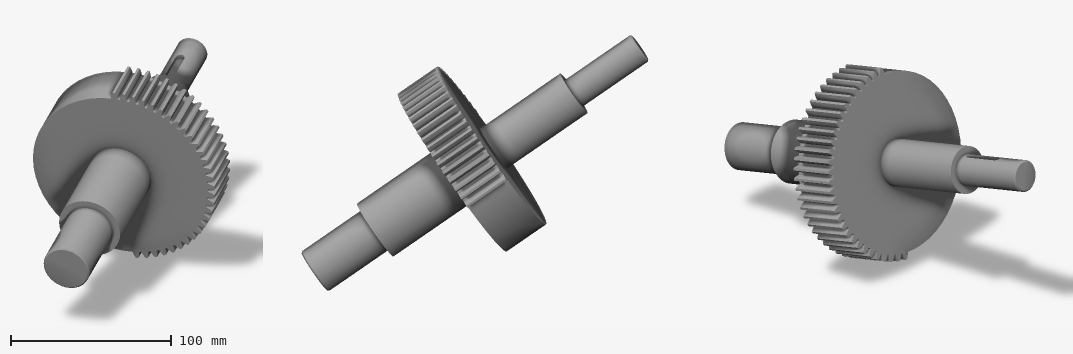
import cadquery as cq
import math

rear_diameter = 20.0
journal_diameter = 30.0
collar_diameter = 40.0
gear_width = 30.0
front_journal_length = 46.0
collar_length = 60.0
rear_journal_length = 60.8
rear_end_length = 50.2
end_chamfer = 1.0

keyway_width = 6.0
keyway_length = 28.0
keyway_depth = 3.0
keyway_shoulder_gap = 2.5

gear_outer_diameter = 124.0
teeth_per_turn = 60
tooth_count = 30
pressure_angle = math.radians(20)
dedendum_in_modules = 1.25
module = gear_outer_diameter / (teeth_per_turn + 2)
outer_radius = gear_outer_diameter / 2
pitch_radius = module * teeth_per_turn / 2
root_radius = pitch_radius - dedendum_in_modules * module
base_radius = pitch_radius * math.cos(pressure_angle)
tooth_pitch_angle = 360 / teeth_per_turn
first_tooth_angle = -84.1

shaft_pitch = 12.5
shaft_yaw = -2.2

front_shoulder_y = -collar_length
front_end_y = front_shoulder_y - front_journal_length
rear_shoulder_y = gear_width + rear_journal_length
rear_end_y = rear_shoulder_y + rear_end_length


def cylinder(diameter, start_y, end_y):
    """A cylinder on the Y axis between two stations."""
    return cq.Workplane("XZ", origin=(0, start_y, 0)).circle(diameter / 2).extrude(start_y - end_y)


def place(body):
    """Turn a body from the Y axis to the tilted axis of the assembly."""
    origin = (0, 0, 0)
    return (
        body.rotate(origin, (1, 0, 0), shaft_pitch)
        .rotate(origin, (0, 0, 1), shaft_yaw)
    )


def make_keyway():
    """A round-ended slot cut down from the top of the rear end."""
    centre_y = rear_shoulder_y + keyway_shoulder_gap + keyway_length / 2
    floor_z = rear_diameter / 2 - keyway_depth
    return (
        cq.Workplane("XY", origin=(0, centre_y, floor_z))
        .slot2D(keyway_length, keyway_width, 90)
        .extrude(rear_diameter)
    )


def make_shaft():
    """The four steps of the shaft with both ends chamfered and the keyway cut."""
    front_journal = cylinder(journal_diameter, front_end_y, front_shoulder_y)
    front_journal = front_journal.faces("<Y").chamfer(end_chamfer)
    collar = cylinder(collar_diameter, front_shoulder_y, 0)
    rear_journal = cylinder(journal_diameter, 0, rear_shoulder_y)
    rear_end = cylinder(rear_diameter, rear_shoulder_y, rear_end_y)
    rear_end = rear_end.faces(">Y").chamfer(end_chamfer)
    shaft = front_journal.union(collar).union(rear_journal).union(rear_end)
    return shaft.cut(make_keyway())


def involute(angle):
    """The involute function of a pressure angle."""
    return math.tan(angle) - angle


def flank_point(radius, side):
    """A point on one flank of a tooth that points along +X."""
    half_angle = math.pi / (2 * teeth_per_turn) + involute(pressure_angle)
    if radius > base_radius:
        half_angle -= involute(math.acos(base_radius / radius))
    return (radius * math.cos(half_angle), side * radius * math.sin(half_angle))


def make_tooth(angle):
    """One involute tooth, with its foot sunk into the disc."""
    foot_radius = root_radius - module / 2
    lower_root = flank_point(foot_radius, -1)
    lower_base = flank_point(base_radius, -1)
    lower_pitch = flank_point(pitch_radius, -1)
    lower_tip = flank_point(outer_radius, -1)
    upper_tip = flank_point(outer_radius, 1)
    upper_pitch = flank_point(pitch_radius, 1)
    upper_base = flank_point(base_radius, 1)
    upper_root = flank_point(foot_radius, 1)
    tooth = (
        cq.Workplane("XZ")
        .moveTo(*lower_root)
        .lineTo(*lower_base)
        .threePointArc(lower_pitch, lower_tip)
        .threePointArc((outer_radius, 0), upper_tip)
        .threePointArc(upper_pitch, upper_base)
        .lineTo(*upper_root)
        .close()
        .extrude(-gear_width)
    )
    return tooth.rotate((0, 0, 0), (0, 1, 0), -angle)


def make_gear():
    """A root disc with teeth on one half, bored to fit the rear journal."""
    gear = cylinder(2 * root_radius, 0, gear_width)
    for index in range(tooth_count):
        gear = gear.union(make_tooth(first_tooth_angle + index * tooth_pitch_angle))
    return gear.cut(cylinder(journal_diameter, 0, gear_width))


shaft = place(make_shaft())
gear = place(make_gear())

result = cq.Compound.makeCompound([shaft.val(), gear.val()])